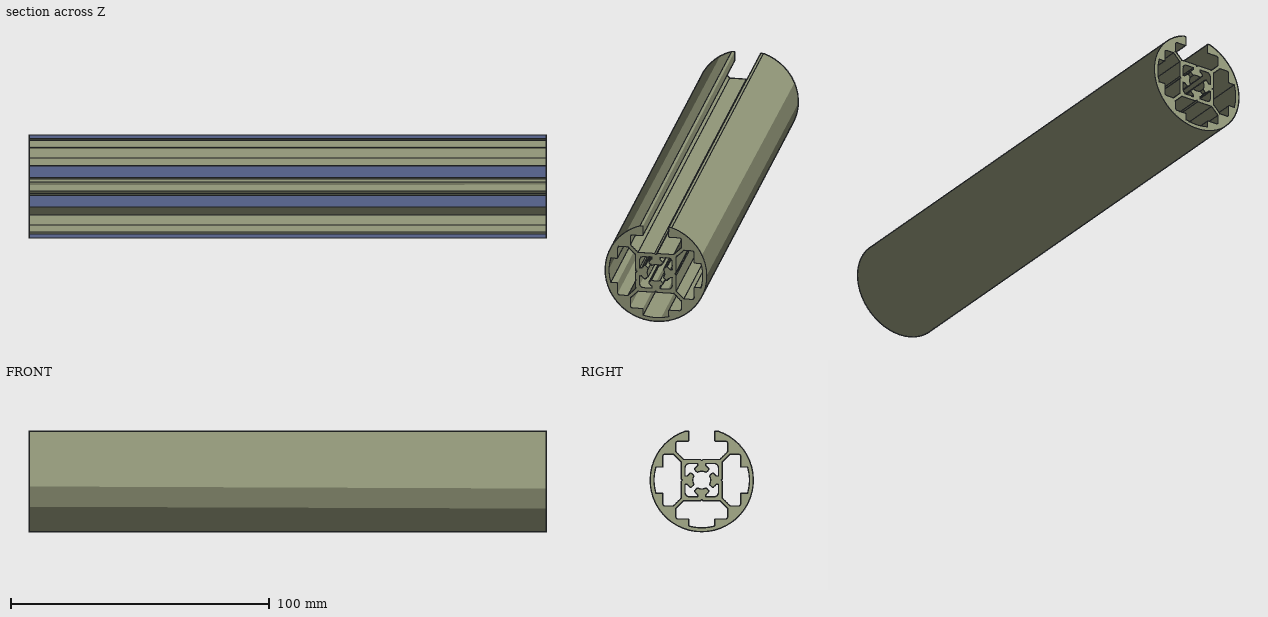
import cadquery as cq
import math

LENGTH = 200.0
OUTER_RADIUS = 20.0

SKIN_THICKNESS = 1.5
MOUTH_HALF_WIDTH = 5.0
CHAMBER_HALF_WIDTH = 10.0
LIP_HEIGHT = 15.0
WEB_THICKNESS = 1.5
CHAMBER_FILLET = 0.8
LIP_FILLET = 0.5
LIP_TOP = 19.0

CORE_HALF_WIDTH = 8.0
CORE_WALL = 1.5
CORE_FILLET = 1.5
GROOVE_DEPTH = 0.5
GROOVE_HALF_WIDTH = 0.5

BORE_RADIUS = 3.5
NECK_HALF_WIDTH = 1.5
HEAD_HALF_WIDTH = 2.8
HEAD_EDGE = 0.5
HEAD_GAP = 1.8

SIDE_ANGLES = (0, 90, 180, 270)
CLOSED_ANGLES = (90, 180, 270)


def extrude_profile(points):
    """Extrude a closed (y, z) polygon along the whole length."""
    return cq.Workplane("YZ").polyline(points).close().extrude(LENGTH)


def rod(radius):
    return cq.Workplane("YZ").circle(radius).extrude(LENGTH)


def box_bar(half_width, bottom, top):
    """Bar with a rectangular section, centred on y = 0."""
    return extrude_profile([
        (-half_width, bottom),
        (half_width, bottom),
        (half_width, top),
        (-half_width, top),
    ])


def mirrored(right_half):
    """Complete a symmetric outline from its points at y >= 0."""
    left_half = [(-y, z) for y, z in reversed(right_half) if y > 0]
    return right_half + left_half


def turned(shape, angle):
    """Turn a shape about the long axis."""
    return shape.rotate((0, 0, 0), (1, 0, 0), angle)


def chamber():
    """Wide T-slot space under the lips, with 45 degree lower corners along the webs."""
    web_offset = WEB_THICKNESS / math.sqrt(2)
    space = extrude_profile(mirrored([
        (CORE_HALF_WIDTH - web_offset, CORE_HALF_WIDTH),
        (CHAMBER_HALF_WIDTH, CHAMBER_HALF_WIDTH + web_offset),
        (CHAMBER_HALF_WIDTH, LIP_HEIGHT),
    ]))
    upper_corners = space.faces(">Z").edges("|X")
    return upper_corners.fillet(CHAMBER_FILLET)


def floor_groove():
    return extrude_profile([
        (-GROOVE_HALF_WIDTH, CORE_HALF_WIDTH),
        (0, CORE_HALF_WIDTH - GROOVE_DEPTH),
        (GROOVE_HALF_WIDTH, CORE_HALF_WIDTH),
    ])


def screw_boss():
    """T-shaped boss hanging from the core wall towards the axis."""
    head_offset = HEAD_GAP / math.sqrt(2)
    head_height = HEAD_HALF_WIDTH + head_offset
    head_back = head_height + HEAD_EDGE
    neck_height = head_back + HEAD_HALF_WIDTH - NECK_HALF_WIDTH
    root_height = CORE_HALF_WIDTH - CORE_WALL / 2
    boss = extrude_profile(mirrored([
        (NECK_HALF_WIDTH, root_height),
        (NECK_HALF_WIDTH, neck_height),
        (HEAD_HALF_WIDTH, head_back),
        (HEAD_HALF_WIDTH, head_height),
        (0, head_offset),
    ]))
    return boss.cut(rod(BORE_RADIUS))


def mouth_edges(height):
    """Selector for the lengthwise mouth edges at a given distance from the axis."""
    margin = LIP_FILLET / 2
    return cq.selectors.BoxSelector(
        (0, -MOUTH_HALF_WIDTH - margin, height - margin),
        (LENGTH, MOUTH_HALF_WIDTH + margin, height + margin),
    )


cavity_half_width = CORE_HALF_WIDTH - CORE_WALL
cavity = box_bar(cavity_half_width, -cavity_half_width, cavity_half_width)
body = rod(OUTER_RADIUS).cut(cavity.edges("|X").fillet(CORE_FILLET))

for side_angle in SIDE_ANGLES:
    body = body.cut(turned(chamber(), side_angle))
    body = body.union(turned(screw_boss(), side_angle))
    body = body.cut(turned(floor_groove(), side_angle))

closed_mouth = box_bar(MOUTH_HALF_WIDTH, CORE_HALF_WIDTH, OUTER_RADIUS)
closed_mouth = closed_mouth.intersect(rod(OUTER_RADIUS - SKIN_THICKNESS))
for side_angle in CLOSED_ANGLES:
    body = body.cut(turned(closed_mouth, side_angle))

body = body.cut(box_bar(MOUTH_HALF_WIDTH, CORE_HALF_WIDTH, OUTER_RADIUS))
body = body.cut(box_bar(OUTER_RADIUS, LIP_TOP, OUTER_RADIUS))

for side_angle in SIDE_ANGLES:
    body = turned(body, -side_angle)
    body = body.edges("|X").edges(mouth_edges(LIP_HEIGHT)).fillet(LIP_FILLET)
    body = turned(body, side_angle)
body = body.edges("|X").edges(mouth_edges(LIP_TOP)).fillet(LIP_FILLET)

result = body